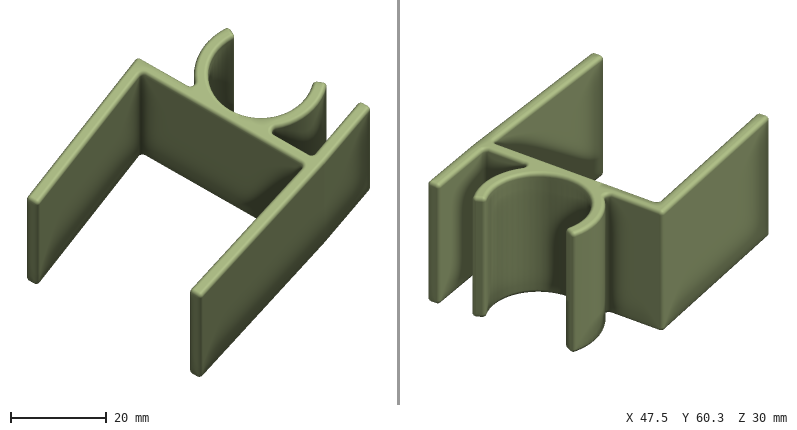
import cadquery as cq
import math

width = 47.5
length = 60.3
height = 30.0
wall = 3.0
edge_radius = 0.9

half_width = width / 2
fin_length = 17.25
leg_length = length - fin_length
leg_inset = 1.55

bore_radius = 10.95
clip_radius = bore_radius + wall
clip_tip_angle = 26.5


def extrude_outline(points):
    return cq.Workplane("XY").polyline(points).close().extrude(height)


def make_leg(side):
    """Leaning leg on the -X (side = -1) or +X (side = 1) end of the plate."""
    outer_root = side * half_width
    outer_tip = side * (half_width - leg_inset)
    return extrude_outline([
        (outer_root, 0),
        (outer_tip, -leg_length),
        (outer_tip - side * wall, -leg_length),
        (outer_root - side * wall, 0),
    ])


def make_plate():
    """Cross plate whose ends follow the lean of the legs."""
    end_lean = leg_inset * wall / leg_length
    inner_end = half_width - end_lean
    return extrude_outline([
        (-half_width, 0),
        (half_width, 0),
        (inner_end, -wall),
        (-inner_end, -wall),
    ])


def make_fin():
    """Straight fin on the +X end, rooted inside the plate."""
    inner_face = half_width - wall
    return extrude_outline([
        (inner_face, -wall / 2),
        (inner_face, fin_length),
        (half_width, fin_length),
        (half_width, 0),
    ])


def make_clip():
    """Open ring that merges into the plate at its lowest point."""
    tip_x = math.cos(math.radians(clip_tip_angle))
    tip_y = math.sin(math.radians(clip_tip_angle))

    def tip(radius, side):
        return (side * radius * tip_x, bore_radius + radius * tip_y)

    return (
        cq.Workplane("XY")
        .moveTo(*tip(clip_radius, -1))
        .threePointArc((0, -wall), tip(clip_radius, 1))
        .lineTo(*tip(bore_radius, 1))
        .threePointArc((0, 0), tip(bore_radius, -1))
        .close()
        .extrude(height)
    )


body = make_plate().union(make_clip()).union(make_fin())
for end in (-1, 1):
    body = body.union(make_leg(end))
body = body.clean()

all_edges = cq.selectors.BoxSelector((-width, -length, -height), (width, length, 2 * height))
bend_edge = cq.selectors.NearestToPointSelector((half_width, 0, height / 2))
result = body.edges(cq.selectors.SubtractSelector(all_edges, bend_edge)).fillet(edge_radius)